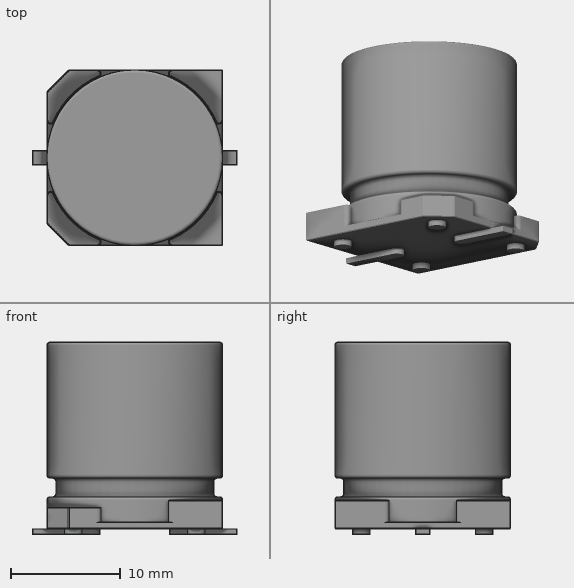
import cadquery as cq
import math

lead_span = 18.6
body_width = 16.0
total_height = 17.5
half_width = body_width / 2

can_radius = body_width / 2
groove_radius = 14.4 / 2
groove_bottom = 3.42
groove_top = 5.12
rim_radius = 0.3

base_bottom = 0.5
shelf_height = 1.15
low_pad_height = 2.47
tall_pad_height = 3.12
corner_cut = 1.99
edge_break = 0.07
notch_half_width = 3.07
pad_tip_radius = 0.37
pocket_clearance = 0.07

lead_width = 1.3
lead_inner_end = 3.18
foot_diameter = 1.6
foot_offset = 5.58


def make_can():
    """Revolve the can profile: lower rim, crimp groove, upper body."""
    inset = can_radius - rim_radius
    throat = groove_radius + rim_radius
    arc_sag = rim_radius * (1 - math.sqrt(0.5))
    profile = (
        cq.Workplane("XZ")
        .moveTo(0, shelf_height)
        .lineTo(can_radius, shelf_height)
        .lineTo(can_radius, groove_bottom - rim_radius)
        .threePointArc((can_radius - arc_sag, groove_bottom - arc_sag), (inset, groove_bottom))
        .lineTo(throat, groove_bottom)
        .threePointArc(
            (groove_radius + arc_sag, groove_bottom + arc_sag),
            (groove_radius, groove_bottom + rim_radius),
        )
        .lineTo(groove_radius, groove_top - rim_radius)
        .threePointArc((groove_radius + arc_sag, groove_top - arc_sag), (throat, groove_top))
        .lineTo(inset, groove_top)
        .threePointArc((can_radius - arc_sag, groove_top + arc_sag), (can_radius, groove_top + rim_radius))
        .lineTo(can_radius, total_height - rim_radius)
        .threePointArc((can_radius - arc_sag, total_height - arc_sag), (inset, total_height))
        .lineTo(0, total_height)
        .close()
    )
    return profile.revolve(360, (0, 0), (0, 1))


def base_block(height):
    """Square block with its two -X corners cut off, every outer edge broken."""
    block = (
        cq.Workplane("XY")
        .workplane(offset=base_bottom)
        .rect(body_width, body_width)
        .extrude(height - base_bottom)
        .edges("|Z and <X")
        .chamfer(corner_cut)
    )
    return block.edges().chamfer(edge_break)


def make_pad(side_x, side_y, height):
    """Corner pad between the can and the block outline, with rounded tips."""
    pad_size = half_width - notch_half_width
    pad_center = (half_width + notch_half_width) / 2
    corner = (
        cq.Workplane("XY")
        .workplane(offset=base_bottom)
        .center(side_x * pad_center, side_y * pad_center)
        .rect(pad_size, pad_size)
        .extrude(height - base_bottom)
    )
    tips = (
        (side_x * notch_half_width, side_y * half_width, height / 2),
        (side_x * half_width, side_y * notch_half_width, height / 2),
    )
    for tip in tips:
        nearest_edge = cq.selectors.NearestToPointSelector(tip)
        corner = corner.edges("|Z").edges(nearest_edge).fillet(pad_tip_radius)
    pocket_radius = can_radius + pocket_clearance
    pocket = cq.Workplane("XY").workplane(offset=shelf_height).circle(pocket_radius).extrude(height)
    pad = corner.cut(pocket).faces(">Z").edges().chamfer(edge_break)
    return pad.intersect(base_block(height))


def make_lead(side):
    """Flat lead with a round inner end, reaching out past the base."""
    outer = lead_span / 2
    round_center = lead_inner_end + lead_width / 2
    return (
        cq.Workplane("XY")
        .moveTo(side * outer, -lead_width / 2)
        .lineTo(side * round_center, -lead_width / 2)
        .threePointArc((side * lead_inner_end, 0), (side * round_center, lead_width / 2))
        .lineTo(side * outer, lead_width / 2)
        .close()
        .extrude(base_bottom)
    )


base = base_block(shelf_height)
for side_y in (-1, 1):
    base = base.union(make_pad(-1, side_y, low_pad_height))
    base = base.union(make_pad(1, side_y, tall_pad_height))

feet = (
    cq.Workplane("XY")
    .rect(2 * foot_offset, 2 * foot_offset, forConstruction=True)
    .vertices()
    .circle(foot_diameter / 2)
    .extrude(base_bottom)
)

result = base.union(make_can()).union(feet).union(make_lead(-1)).union(make_lead(1))